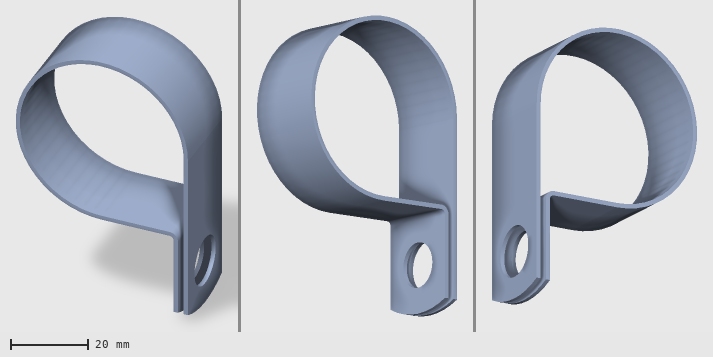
import cadquery as cq

height = 74.2
loop_diameter = 48.5
strap_width = 22.3
thickness = 1.2
tab_gap = 1.6
bend_inner_radius = 1.2
short_tab_hole_diameter = 11.9
long_tab_hole_diameter = 13.8
hole_height = 12.8
tab_end_rise = 2.6

outer_radius = loop_diameter / 2
inner_radius = outer_radius - thickness
loop_z = height - outer_radius
bend_outer_radius = bend_inner_radius + thickness
short_tab_outer_x = inner_radius - tab_gap
short_tab_inner_x = short_tab_outer_x - thickness
bend_x = short_tab_outer_x - bend_outer_radius
shelf_bottom_z = loop_z - outer_radius
shelf_top_z = shelf_bottom_z + thickness
bend_z = shelf_top_z - bend_outer_radius
half_width = strap_width / 2


def strap():
    """Bent strip: long tab, three-quarter loop, flat shelf, bend and short tab."""
    return (
        cq.Workplane("XZ")
        .moveTo(outer_radius, 0)
        .lineTo(outer_radius, loop_z)
        .threePointArc((0, height), (-outer_radius, loop_z))
        .radiusArc((0, shelf_bottom_z), -outer_radius)
        .lineTo(bend_x, shelf_bottom_z)
        .radiusArc((short_tab_inner_x, bend_z), bend_inner_radius)
        .lineTo(short_tab_inner_x, 0)
        .lineTo(short_tab_outer_x, 0)
        .lineTo(short_tab_outer_x, bend_z)
        .radiusArc((bend_x, shelf_top_z), -bend_outer_radius)
        .lineTo(0, shelf_top_z)
        .radiusArc((-inner_radius, loop_z), inner_radius)
        .threePointArc((0, loop_z + inner_radius), (inner_radius, loop_z))
        .lineTo(inner_radius, 0)
        .close()
        .extrude(half_width, both=True)
    )


def rounded_end_envelope():
    """Block with a convex lower end that trims both tabs alike."""
    return (
        cq.Workplane("YZ")
        .moveTo(-half_width, height)
        .lineTo(-half_width, tab_end_rise)
        .threePointArc((0, 0), (half_width, tab_end_rise))
        .lineTo(half_width, height)
        .close()
        .extrude(outer_radius, both=True)
    )


def tab_hole(diameter, tab_inner_x):
    """Cylinder along X through the tab whose -X face is at tab_inner_x."""
    return (
        cq.Workplane("YZ", origin=(tab_inner_x, 0, hole_height))
        .circle(diameter / 2)
        .extrude(thickness)
    )


result = (
    strap()
    .intersect(rounded_end_envelope())
    .cut(tab_hole(short_tab_hole_diameter, short_tab_inner_x))
    .cut(tab_hole(long_tab_hole_diameter, inner_radius))
)